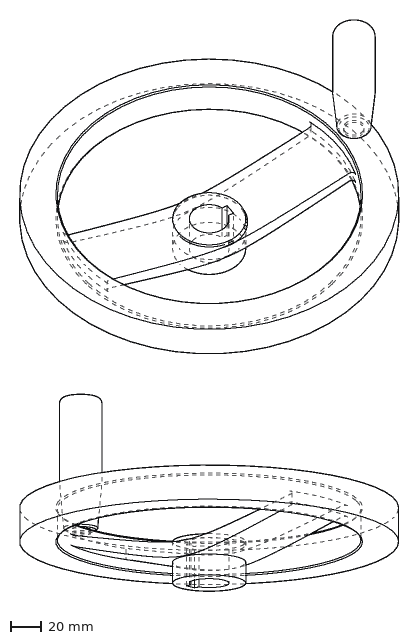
import cadquery as cq
import math

rim_outer_radius = 125.0
rim_inner_radius = 100.0
rim_height = 23.1
rim_chamfer = 1.0
rim_bottom = 28.0
rim_top = rim_bottom + rim_height

hub_radius = 24.1
hub_top = rim_bottom
hub_fillet = 1.0
bore_radius = 13.0
key_width = 8.0
key_reach = 16.3

web_width = 49.5
web_bottom_slope = math.radians(15.6)
web_top_slope = math.radians(13.4)
web_bottom_at_hub = 14.0
web_top_at_hub = 24.6
web_corner_fillet = 3.0

handle_y = 112.5
neck_radius = 6.8
neck_depth = 2.5
grip_radius = 14.0
grip_foot_radius = 11.3
grip_chamfer = 1.3
grip_bottom = 53.0
grip_taper_top = 86.0
grip_straight_top = 138.5
cap_edge_radius = 11.3
cap_edge_z = 142.3
handle_top = 143.5


def cone_height(height_at_hub, slope, radius):
    """Height of a conical web face at the given radius."""
    return height_at_hub + (radius - hub_radius) * math.tan(slope)


def revolve_profile(profile):
    """Turn a closed XZ profile about the Z axis."""
    return profile.close().revolve(360, (0, 0, 0), (0, 1, 0))


def make_rim():
    chamfer_radius = rim_inner_radius + rim_chamfer
    return revolve_profile(
        cq.Workplane("XZ")
        .moveTo(chamfer_radius, rim_bottom)
        .lineTo(rim_outer_radius, rim_bottom)
        .lineTo(rim_outer_radius, rim_top)
        .lineTo(chamfer_radius, rim_top)
        .lineTo(rim_inner_radius, rim_top - rim_chamfer)
        .lineTo(rim_inner_radius, rim_bottom + rim_chamfer)
    )


def make_web_outline():
    """Tall strip through the rim opening, flared by fillets where it meets the rim."""
    half_width = web_width / 2
    center_x = half_width + web_corner_fillet
    center_distance = rim_inner_radius - web_corner_fillet
    center_y = math.sqrt(center_distance**2 - center_x**2)
    wall_scale = rim_inner_radius / center_distance
    wall_x = center_x * wall_scale
    wall_y = center_y * wall_scale
    wall_angle = math.atan2(center_y, center_x)
    middle_angle = (math.pi + wall_angle) / 2
    middle_x = center_x + web_corner_fillet * math.cos(middle_angle)
    middle_y = center_y + web_corner_fillet * math.sin(middle_angle)
    half_strip = (
        cq.Workplane("XY")
        .moveTo(half_width, 0)
        .lineTo(half_width, center_y)
        .threePointArc((middle_x, middle_y), (wall_x, wall_y))
        .threePointArc((0, rim_inner_radius), (-wall_x, wall_y))
        .threePointArc((-middle_x, middle_y), (-half_width, center_y))
        .lineTo(-half_width, 0)
        .close()
        .extrude(rim_top)
    )
    return half_strip.union(half_strip.mirror("XZ"))


def make_web():
    dish = revolve_profile(
        cq.Workplane("XZ")
        .moveTo(0, web_bottom_at_hub)
        .lineTo(hub_radius, web_bottom_at_hub)
        .lineTo(rim_inner_radius, cone_height(web_bottom_at_hub, web_bottom_slope, rim_inner_radius))
        .lineTo(rim_inner_radius, cone_height(web_top_at_hub, web_top_slope, rim_inner_radius))
        .lineTo(hub_radius, web_top_at_hub)
        .lineTo(0, web_top_at_hub)
    )
    return dish.intersect(make_web_outline())


def make_hub():
    """Hub cylinder with a fillet ring where it rises out of the web."""
    center_r = hub_radius + hub_fillet
    center_z = cone_height(web_top_at_hub, web_top_slope, center_r) + hub_fillet / math.cos(web_top_slope)
    foot_r = center_r + hub_fillet * math.sin(web_top_slope)
    foot_z = center_z - hub_fillet * math.cos(web_top_slope)
    middle_angle = (5 * math.pi / 2 + web_top_slope) / 2
    middle_r = center_r + hub_fillet * math.cos(middle_angle)
    middle_z = center_z + hub_fillet * math.sin(middle_angle)
    return revolve_profile(
        cq.Workplane("XZ")
        .lineTo(hub_radius, 0)
        .lineTo(hub_radius, web_top_at_hub)
        .lineTo(foot_r, foot_z)
        .threePointArc((middle_r, middle_z), (hub_radius, center_z))
        .lineTo(hub_radius, hub_top)
        .lineTo(0, hub_top)
    )


def make_bore():
    round_bore = cq.Workplane("XY").circle(bore_radius).extrude(hub_top)
    keyway = (
        cq.Workplane("XY")
        .center(0, key_reach / 2)
        .rect(key_width, key_reach)
        .extrude(hub_top)
    )
    return round_bore.union(keyway)


def make_handle():
    dome_rise = handle_top - cap_edge_z
    dome_radius = (cap_edge_radius**2 + dome_rise**2) / (2 * dome_rise)
    dome_middle_r = cap_edge_radius / 2
    dome_middle_z = handle_top - dome_radius + math.sqrt(dome_radius**2 - dome_middle_r**2)
    neck_bottom = rim_top - neck_depth
    profile = (
        cq.Workplane("XZ")
        .moveTo(0, neck_bottom)
        .lineTo(neck_radius, neck_bottom)
        .lineTo(neck_radius, grip_bottom)
        .lineTo(grip_foot_radius - grip_chamfer, grip_bottom)
        .lineTo(grip_foot_radius, grip_bottom + grip_chamfer)
        .lineTo(grip_radius, grip_taper_top)
        .lineTo(grip_radius, grip_straight_top)
        .tangentArcPoint((cap_edge_radius, cap_edge_z), relative=False)
        .threePointArc((dome_middle_r, dome_middle_z), (0, handle_top))
    )
    return revolve_profile(profile).translate((0, handle_y, 0))


wheel = make_rim().union(make_web()).union(make_hub()).cut(make_bore())
result = wheel.union(make_handle())